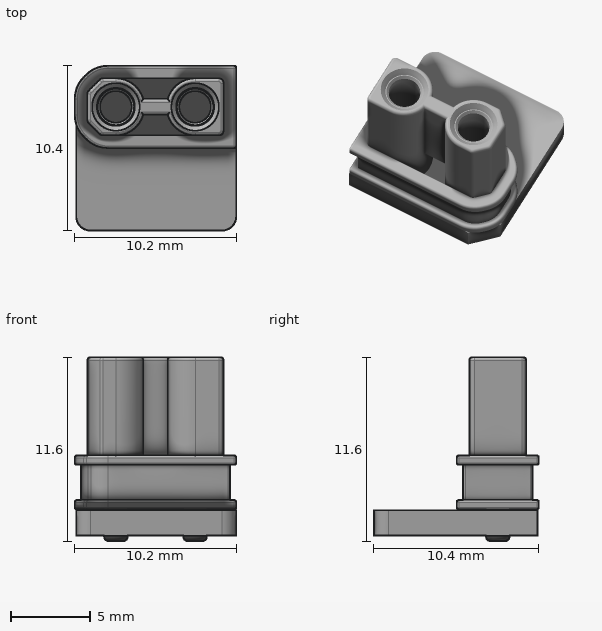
import cadquery as cq
import math


plate_length = 10.1
plate_width = 10.31
plate_thickness = 1.6
plate_edge_setback = 0.09
plate_gap = 0.05
plate_corner_radius = 0.9
plate_corner_chamfer = 1.5

flange_length = 10.2
flange_width = 5.2
flange_thickness = 0.6
flange_chamfer = 1.3
flange_round = 1.9
edge_round = 0.15
neck_inset = 0.4
neck_height = 2.2

tower_inset = 0.8
tower_height = 6.2
tower_chamfer = 0.86
tower_corner_round = 0.3
tower_rim_round = 0.2
web_thickness = 1.0

contact_spacing = 5.0
contact_diameter = 2.4
bore_diameter = 2.0
bore_chamfer = 0.15
mouth_diameter = 3.0
tail_diameter = 1.5
tail_length = 0.35
tail_round = 0.3

lower_flange_z = plate_thickness + plate_gap
neck_z = lower_flange_z + flange_thickness
upper_flange_z = neck_z + neck_height
tower_z = upper_flange_z + flange_thickness
tower_top_z = tower_z + tower_height
tower_length = flange_length - 2 * tower_inset
tower_width = flange_width - 2 * tower_inset
barrel_diameter = tower_width
pocket_floor_z = neck_z
mouth_depth = (mouth_diameter - contact_diameter) / 2
contact_top_z = tower_top_z - mouth_depth
contact_xs = (-contact_spacing / 2, contact_spacing / 2)
contact_points = [(x, 0) for x in contact_xs]


def level(z):
    return cq.Workplane("XY").workplane(offset=z)


def keyed_block(length, width, chamfer, left_round, right_round, z, height):
    """Block with chamfered, rounded left corners and lightly rounded right corners."""
    block = level(z).rect(length, width).extrude(height)
    block = block.edges("|Z and <X").chamfer(chamfer)
    block = block.edges("|Z and (not >X)").fillet(left_round)
    return block.edges("|Z and >X").fillet(right_round)


def make_flange(z):
    flange = keyed_block(
        flange_length, flange_width, flange_chamfer, flange_round, edge_round, z, flange_thickness
    )
    return flange.faces("<Z or >Z").edges().fillet(edge_round)


def make_neck():
    chamfer = flange_chamfer - neck_inset * (2 - math.sqrt(2))
    return keyed_block(
        flange_length - 2 * neck_inset,
        flange_width - 2 * neck_inset,
        chamfer,
        flange_round - neck_inset,
        edge_round,
        neck_z,
        neck_height,
    )


def make_side_pockets():
    """Space between the two barrels, running under the web and down into the neck."""
    height = tower_top_z - pocket_floor_z
    pockets = level(pocket_floor_z).rect(contact_spacing, tower_width).extrude(height)
    barrels = level(pocket_floor_z).pushPoints(contact_points).circle(barrel_diameter / 2).extrude(height)
    web = level(tower_z).rect(contact_spacing, web_thickness).extrude(tower_height)
    return pockets.cut(barrels).cut(web)


def make_housing():
    tower = keyed_block(
        tower_length,
        tower_width,
        tower_chamfer,
        tower_corner_round,
        tower_corner_round,
        tower_z,
        tower_height,
    )
    pockets = make_side_pockets()
    tower = tower.cut(pockets).faces(">Z").edges().fillet(tower_rim_round)
    body = make_flange(lower_flange_z).union(make_neck()).union(make_flange(upper_flange_z))
    body = body.cut(pockets).union(tower)
    for x in contact_xs:
        hole = level(lower_flange_z).center(x, 0).circle(contact_diameter / 2)
        hole = hole.extrude(tower_top_z - lower_flange_z)
        mouth = (
            level(contact_top_z)
            .center(x, 0)
            .circle(contact_diameter / 2)
            .workplane(offset=mouth_depth)
            .circle(mouth_diameter / 2)
            .loft()
        )
        body = body.cut(hole).cut(mouth)
    return body


def make_plate():
    left = -flange_length / 2 + plate_edge_setback
    rear = flange_width / 2 - plate_edge_setback
    plate = level(0).center(left + plate_length / 2, rear - plate_width / 2)
    plate = plate.rect(plate_length, plate_width).extrude(plate_thickness)
    plate = plate.edges("|Z and <Y").fillet(plate_corner_radius)
    plate = plate.edges("|Z and >Y and <X").chamfer(plate_corner_chamfer)
    holes = level(0).pushPoints(contact_points).circle(tail_diameter / 2).extrude(plate_thickness)
    return plate.cut(holes)


def make_contact(x):
    """Socket held in the housing, with a solder tail through the base plate."""
    socket = level(lower_flange_z).circle(contact_diameter / 2).extrude(contact_top_z - lower_flange_z)
    bore = level(tower_z).circle(bore_diameter / 2).extrude(contact_top_z - tower_z)
    socket = socket.cut(bore)
    socket = socket.faces(">Z").edges(cq.selectors.RadiusNthSelector(0)).chamfer(bore_chamfer)
    tail = level(-tail_length).circle(tail_diameter / 2).extrude(tail_length + lower_flange_z)
    tail = tail.faces("<Z").edges().fillet(tail_round)
    return socket.union(tail).translate((x, 0, 0))


housing = make_housing()
plate = make_plate()
contacts = [make_contact(x) for x in contact_xs]

result = cq.Compound.makeCompound([housing.val(), plate.val(), *[contact.val() for contact in contacts]])